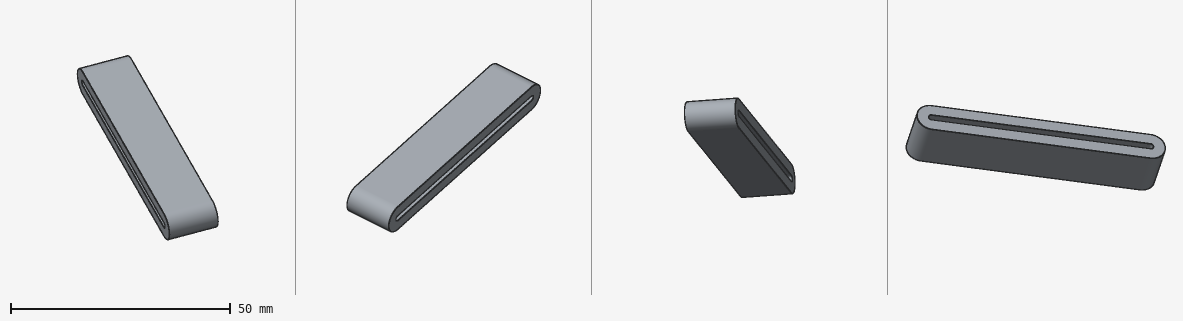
import cadquery as cq

length = 57.9
depth = 12.0
height = 7.0

wall = 2.85
slot_length = length - 2 * wall
slot_height = height - 2 * wall

rim_chamfer = 0.1


def rounded_bar(bar_length, bar_height):
    """Bar with fully round ends, centred on the origin and running along Y."""
    return cq.Workplane("XZ").slot2D(bar_length, bar_height).extrude(depth / 2, both=True)


body = rounded_bar(length, height).cut(rounded_bar(slot_length, slot_height))

result = body.faces("<Y or >Y").edges().chamfer(rim_chamfer)